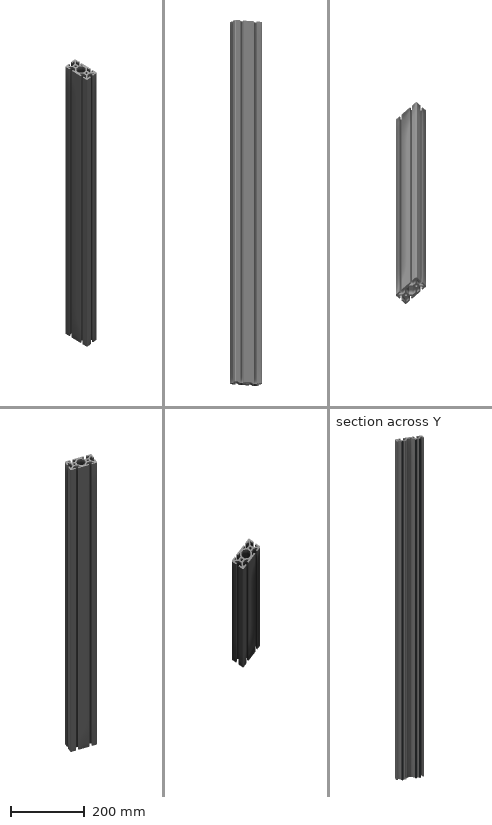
import cadquery as cq

MODULE = 40.0
LENGTH = 1000.0
CORNER_RADIUS = 3.0
SLOT_OPENING = 8.3
SLOT_DEPTH = 12.3
LIP_THICKNESS = 4.5
WEB_OFFSET = 3.0
CORE_HOLE_DIAMETER = 6.8

HALF_MODULE = MODULE / 2
WIDTH = 2 * MODULE
CORE_HALF = HALF_MODULE - SLOT_DEPTH
CORE_FACE_HALF = CORE_HALF - WEB_OFFSET
LEFT_CENTER = (-HALF_MODULE, 0)
RIGHT_CENTER = (HALF_MODULE, 0)


def make_bar():
    """Solid rectangular bar with rounded long edges, standing on Z = 0."""
    bar = cq.Workplane("XY").rect(WIDTH, MODULE).extrude(LENGTH)
    return bar.edges("|Z").fillet(CORNER_RADIUS)


def make_slot(center, angle):
    """Slot of one module, widening at 45 degrees from floor to lips; opens toward +Y at angle 0."""
    mouth = SLOT_OPENING / 2
    lip_back = HALF_MODULE - LIP_THICKNESS
    right_side = [
        (mouth, HALF_MODULE),
        (mouth, lip_back),
        (lip_back - WEB_OFFSET, lip_back),
        (CORE_FACE_HALF, CORE_HALF),
    ]
    left_side = [(-x, y) for x, y in reversed(right_side)]
    slot = cq.Workplane("XY").polyline(right_side + left_side).close().extrude(LENGTH)
    return slot.rotate((0, 0, 0), (0, 0, 1), angle).translate((*center, 0))


def make_cavity():
    """Square hollow between the two cores, its corners cut off by the diagonal webs."""
    half_side = HALF_MODULE - CORE_HALF
    corner_cut = half_side - CORE_FACE_HALF
    cavity = cq.Workplane("XY").rect(2 * half_side, 2 * half_side).extrude(LENGTH)
    return cavity.edges("|Z").chamfer(corner_cut)


def make_core_holes():
    """Round bores running through both module cores."""
    centers = cq.Workplane("XY").pushPoints([LEFT_CENTER, RIGHT_CENTER])
    return centers.circle(CORE_HOLE_DIAMETER / 2).extrude(LENGTH)


result = make_bar().cut(make_cavity()).cut(make_core_holes())
for module_center, outer_side_angle in ((LEFT_CENTER, 90), (RIGHT_CENTER, -90)):
    for slot_angle in (0, 180, outer_side_angle):
        result = result.cut(make_slot(module_center, slot_angle))